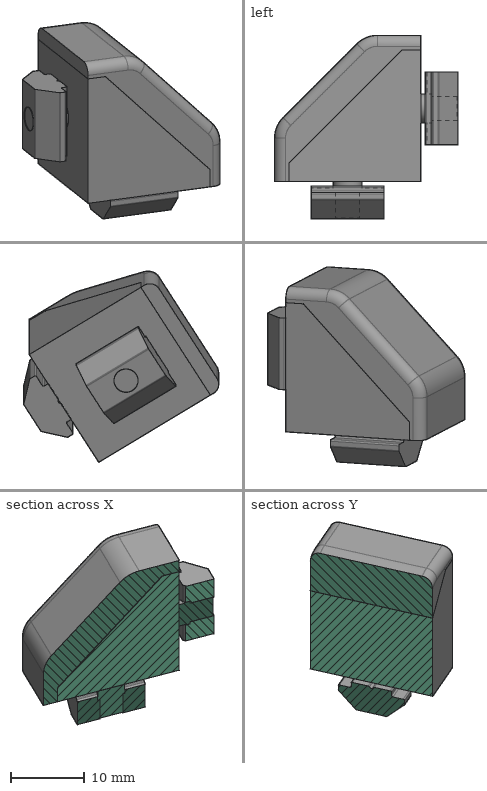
import cadquery as cq


WIDTH = 18.0
LEG = 20.0
OUTER_LAND = 7.58
COVER_WALL = 2.0
BRACKET_LEG = LEG - COVER_WALL
BRACKET_LAND = 2.55
SLOPE_CORNER_RADIUS = 4.0
COVER_EDGE_RADIUS = 1.5

NUT_LENGTH = 10.0
NUT_WIDTH = 9.76
NUT_HEIGHT = 4.5
NECK_WIDTH = 5.97
NECK_HEIGHT = 0.9
SIDE_BOTTOM = 1.85
NUT_EDGE_RADIUS = 0.2
GROOVE_WIDTH = 0.6
GROOVE_DEPTH = 0.28
GROOVE_EDGE_RADIUS = 0.2

NUT_GAP = 0.6
SHANK_DIAMETER = 4.0
THREAD_DIAMETER = 3.3
SHANK_ENTRY = NECK_HEIGHT
END_RECESS = 0.13
MOUNT_OFFSET = LEG / 2


def corner_prism(leg, land):
    """A prism along X with legs on Y = 0 and Z = 0 and a 45 degree slope between its flat ends."""
    outline = [(0, 0), (leg, 0), (leg, land), (land, leg), (0, leg)]
    return cq.Workplane("YZ").polyline(outline).close().extrude(WIDTH / 2, both=True)


def make_bracket():
    return corner_prism(BRACKET_LEG, BRACKET_LAND)


def make_cover():
    block = corner_prism(LEG, OUTER_LAND)
    block = block.faces(">(0, 1, 1)").edges("|X").fillet(SLOPE_CORNER_RADIUS)
    block = block.faces(">(0, 1, 1)").edges("<X or >X").fillet(COVER_EDGE_RADIUS)
    return block.cut(make_bracket())


def make_nut():
    """A nut below the origin: top of the neck on Z = -NUT_GAP, length along Y."""
    half_width = NUT_WIDTH / 2
    half_neck = NECK_WIDTH / 2
    half_bottom = half_width - (NUT_HEIGHT - SIDE_BOTTOM)
    right_side = [
        (half_neck, 0),
        (half_neck, -NECK_HEIGHT),
        (half_width, -NECK_HEIGHT),
        (half_width, -SIDE_BOTTOM),
        (half_bottom, -NUT_HEIGHT),
    ]
    left_side = [(-x, z) for x, z in reversed(right_side)]
    nut = cq.Workplane("XZ").polyline(right_side + left_side).close().extrude(NUT_LENGTH / 2, both=True)
    nut = nut.edges("|Y").fillet(NUT_EDGE_RADIUS)
    half_groove = GROOVE_WIDTH / 2
    groove = (
        cq.Workplane("XZ")
        .moveTo(-half_groove, 0)
        .threePointArc((0, -GROOVE_DEPTH), (half_groove, 0))
        .close()
        .extrude(NUT_LENGTH, both=True)
    )
    nut = nut.cut(groove)
    groove_zone = cq.selectors.BoxSelector(
        (-GROOVE_WIDTH, -NUT_LENGTH, -GROOVE_DEPTH / 2), (GROOVE_WIDTH, NUT_LENGTH, GROOVE_DEPTH / 2)
    )
    nut = nut.edges("|Y").edges(groove_zone).fillet(GROOVE_EDGE_RADIUS)
    thread_bore = cq.Workplane("XY").circle(THREAD_DIAMETER / 2).extrude(-NUT_HEIGHT)
    shank_bore = cq.Workplane("XY").circle(SHANK_DIAMETER / 2).extrude(-SHANK_ENTRY)
    return nut.cut(thread_bore).cut(shank_bore).translate((0, 0, -NUT_GAP))


def make_screw():
    """A screw below the origin: the shank runs into the neck of the nut and the thread follows it."""
    shank_length = NUT_GAP + SHANK_ENTRY
    thread_length = NUT_HEIGHT - SHANK_ENTRY - END_RECESS
    shank = cq.Workplane("XY").circle(SHANK_DIAMETER / 2).extrude(-shank_length)
    return shank.faces("<Z").workplane().circle(THREAD_DIAMETER / 2).extrude(thread_length)


def on_bottom_face(body):
    return body.translate((0, MOUNT_OFFSET, 0))


def on_front_face(body):
    return body.rotate((0, 0, 0), (1, 0, 0), -90).translate((0, 0, MOUNT_OFFSET))


bracket = make_bracket()
cover = make_cover()
nuts = []
screws = []
for place in (on_bottom_face, on_front_face):
    nuts.append(place(make_nut()).val())
    screws.append(place(make_screw()).val())

result = cq.Compound.makeCompound([bracket.val(), cover.val(), *nuts, *screws])